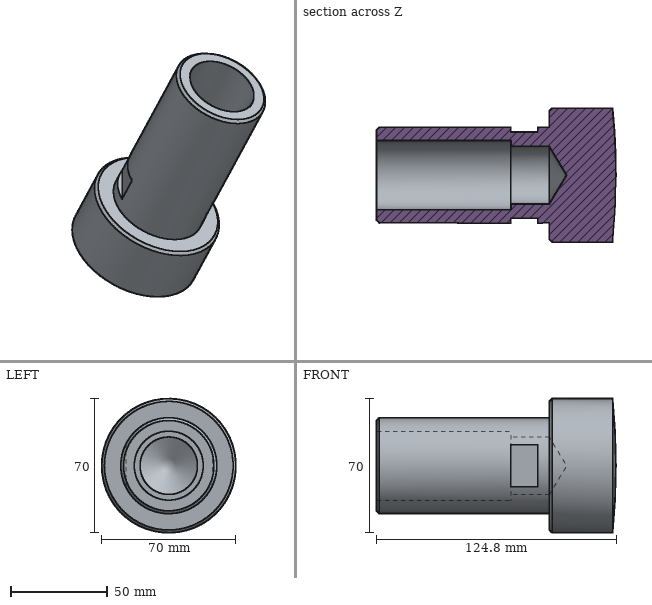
import cadquery as cq
import math

total_length = 124.8
shank_length = 90.0
dome_height = 1.7

head_diameter = 70.0
shank_diameter = 50.0
chamfer = 1.5

bore_diameter = 35.9
bore_depth = 70.0
pilot_diameter = 30.0
pilot_depth = 90.0
drill_point_angle = 118.0

flat_start = 70.0
flat_length = 14.0
across_flats = 45.0


def make_body():
    """Revolve the shank and the domed head about the X axis."""
    shank_radius = shank_diameter / 2
    head_radius = head_diameter / 2
    dome_start = total_length - dome_height
    dome_radius = (head_radius**2 + dome_height**2) / (2 * dome_height)
    dome_center = total_length - dome_radius
    half_angle = math.asin(head_radius / dome_radius) / 2
    dome_middle = (
        dome_center + dome_radius * math.cos(half_angle),
        dome_radius * math.sin(half_angle),
    )
    return (
        cq.Workplane("XY")
        .moveTo(0, 0)
        .lineTo(0, shank_radius - chamfer)
        .lineTo(chamfer, shank_radius)
        .lineTo(shank_length, shank_radius)
        .lineTo(shank_length, head_radius - chamfer)
        .lineTo(shank_length + chamfer, head_radius)
        .lineTo(dome_start, head_radius)
        .threePointArc(dome_middle, (total_length, 0))
        .close()
        .revolve(360, (0, 0, 0), (1, 0, 0))
    )


def make_bore():
    """Revolve the stepped bore and its drill point about the X axis."""
    bore_radius = bore_diameter / 2
    pilot_radius = pilot_diameter / 2
    point_length = pilot_radius / math.tan(math.radians(drill_point_angle / 2))
    return (
        cq.Workplane("XY")
        .moveTo(0, 0)
        .lineTo(0, bore_radius)
        .lineTo(bore_depth, bore_radius)
        .lineTo(bore_depth, pilot_radius)
        .lineTo(pilot_depth, pilot_radius)
        .lineTo(pilot_depth + point_length, 0)
        .close()
        .revolve(360, (0, 0, 0), (1, 0, 0))
    )


def make_flat_cutter(side):
    """Block that cuts one wrench flat on the given Y side (+1 or -1)."""
    block_thickness = shank_diameter / 2
    return cq.Workplane("XY").box(flat_length, block_thickness, shank_diameter).translate(
        (flat_start + flat_length / 2, side * (across_flats + block_thickness) / 2, 0)
    )


result = make_body().cut(make_bore())
for side in (-1, 1):
    result = result.cut(make_flat_cutter(side))